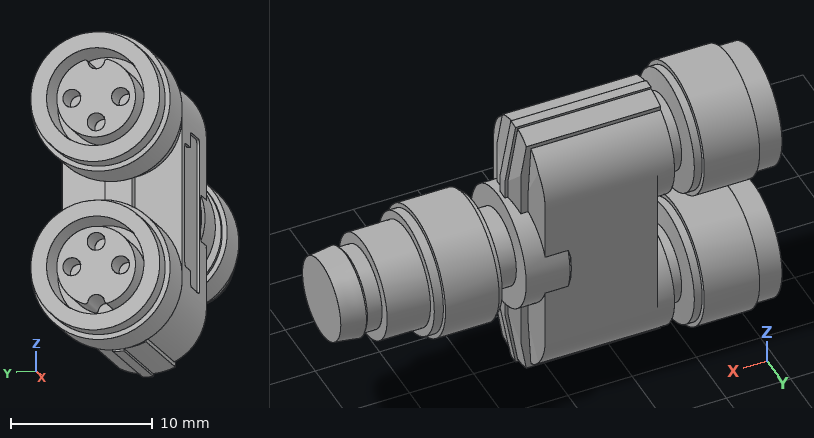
import cadquery as cq
import math


total_length = 33.7
total_width = 10.0
nut_radius = total_width / 2
total_height = 22.07
pick_margin = 0.05
socket_z = total_height / 2 - nut_radius
neck_radius = 2.95
collar_radius = 4.65
collar_taper = 0.2

nut_start = 1.92
nut_end = 6.25
collar_end = 6.85
bore_radius = 3.5
bore_depth = 4.05
insert_radius = 2.83
insert_recess = 0.35
pin_hole_radius = 0.65
pin_circle_radius = 1.75
pin_hole_depth = 2.7
key_radius = 0.6
key_centre_radius = 2.65
key_mouth_fillet = 0.2

body_start = 8.22
body_radius = 4.3
body_end = 18.55
body_end_slope = 0.25
band_radius = 4.6
band_half_width = 2.0
band_end = 19.38
band_end_slope = 0.27
band_top_slope = 0.78
rib_radius = 4.75
rib_half_width = 0.4
rib_end = 19.6
rib_top_slope = 0.85
web_half_width = 0.98
saddle_inner_x = 9.25
saddle_outer_x = 9.55

label_start = 10.48
label_step = 12.5
label_end = 15.85
label_half_height = 5.53
label_step_half_height = 4.4
label_depth = 0.2
label_corner_radius = 0.4

boss_radius = 4.62
boss_front_start = 16.05
boss_back_start = 16.3
boss_end = 19.9
boss_chamfer = 0.2

plug_collar_start = 21.8
plug_nut_start = 22.2
plug_nut_end = 26.4
plug_collar_end = 27.1
barrel_radius = 4.0
barrel_end = 30.45
tip_neck_radius = 3.17
tip_neck_end = 31.6
tip_start = 31.8
tip_large_radius = 3.45
tip_small_radius = 3.2


def turned(profile):
    """Revolve (x, radius) points around the X axis."""
    return cq.Workplane("XY").polyline(profile).close().revolve(360, (0, 0, 0), (1, 0, 0))


def rod(start, end, radius, y=0.0, z=0.0):
    """Cylinder along X between two X positions."""
    return cq.Workplane("YZ", origin=(start, y, z)).circle(radius).extrude(end - start)


def slab(start, end, half_width, half_height):
    """Box along X, centred on the X axis."""
    size = (end - start, 2 * half_width, 2 * half_height)
    return cq.Workplane("XY").box(*size).translate(((start + end) / 2, 0, 0))


def stadium(start, end, radius):
    """Rounded bar along X whose round ends are centred on the socket axes."""
    outline = cq.Workplane("YZ", origin=(start, 0, 0)).slot2D(2 * (socket_z + radius), 2 * radius, 90)
    return outline.extrude(end - start)


def end_wedge(plane, end, slope, flat, reach):
    """Prism bounded by an end at X = end that recedes by slope from flat out to reach."""
    outline = [
        (body_start, -reach),
        (end - slope, -reach),
        (end, -flat),
        (end, flat),
        (end - slope, reach),
        (body_start, reach),
    ]
    return cq.Workplane(plane).polyline(outline).close().extrude(total_height, both=True)


def make_socket():
    """Upper socket around the X axis, with its key at +Z."""
    shell = turned([
        (0, 0),
        (0, collar_radius),
        (nut_start, collar_radius),
        (nut_start, nut_radius),
        (nut_end, nut_radius),
        (nut_end, collar_radius),
        (collar_end, collar_radius),
        (collar_end + collar_taper, neck_radius),
        (body_start, neck_radius),
        (body_start, 0),
    ])
    insert = rod(insert_recess, bore_depth, insert_radius)
    insert = insert.cut(rod(insert_recess, bore_depth, key_radius, z=key_centre_radius))
    key_mouth = slab(insert_recess, bore_depth, key_radius, key_radius)
    insert = insert.cut(key_mouth.translate((0, 0, key_centre_radius + key_radius)))
    mouth_corners = cq.selectors.BoxSelector(
        (0, -insert_radius, key_centre_radius + pick_margin),
        (bore_depth, insert_radius, insert_radius),
    )
    insert = insert.edges("|X").edges(mouth_corners).fillet(key_mouth_fillet)
    for angle in (0, 180, 270):
        y = pin_circle_radius * math.cos(math.radians(angle))
        z = pin_circle_radius * math.sin(math.radians(angle))
        insert = insert.cut(rod(insert_recess, insert_recess + pin_hole_depth, pin_hole_radius, y, z))
    return shell.cut(rod(0, bore_depth, bore_radius)).union(insert)


def make_main_body():
    """Rounded bar with a sloped +X end."""
    body = stadium(body_start, body_end, body_radius)
    body = body.intersect(end_wedge("XZ", body_end, body_end_slope, socket_z, socket_z + body_radius))
    return body.intersect(end_wedge("XY", body_end, body_end_slope, band_half_width, body_radius))


def make_band():
    """Wide raised band over the top, bottom and +X end of the body."""
    band = stadium(body_start, band_end, band_radius)
    band = band.intersect(slab(body_start, band_end, band_half_width, total_height))
    band = band.intersect(end_wedge("XZ", band_end, band_top_slope, socket_z, socket_z + band_radius))
    return band.intersect(end_wedge("XY", band_end, band_end_slope, rib_half_width, band_half_width))


def make_rib():
    """Narrow rib running along the middle of the band."""
    rib = stadium(body_start, rib_end, rib_radius)
    rib = rib.intersect(slab(body_start, rib_end, rib_half_width, total_height))
    return rib.intersect(end_wedge("XZ", rib_end, rib_top_slope, socket_z, socket_z + rib_radius))


def make_saddles():
    """Hollows between the sockets, one on each side of the middle web."""
    saddles = None
    for side in (1, -1):
        saddle = (
            cq.Workplane("XY", origin=(0, 0, -socket_z))
            .polyline([
                (body_start, side * web_half_width),
                (saddle_inner_x, side * web_half_width),
                (saddle_outer_x, side * body_radius),
                (body_start, side * body_radius),
            ])
            .close()
            .extrude(2 * socket_z)
        )
        for z in (socket_z, -socket_z):
            saddle = saddle.cut(rod(body_start, saddle_outer_x, body_radius, z=z))
        saddles = saddle if saddles is None else saddles.union(saddle)
    return saddles


def make_boss():
    """Round boss on the plug axis; its -Y half starts earlier than its +Y half."""
    boss = None
    for start, side in ((boss_front_start, -1), (boss_back_start, 1)):
        disc = rod(start, boss_end, boss_radius).faces("<X").edges().chamfer(boss_chamfer)
        half = slab(start, boss_end, boss_radius / 2, boss_radius)
        half = disc.intersect(half.translate((0, side * boss_radius / 2, 0)))
        boss = half if boss is None else boss.union(half)
    return boss


def make_label():
    """Recess for a label in the -Y flat face."""
    outline = (
        cq.Workplane("XZ", origin=(0, -body_radius, 0))
        .polyline([
            (label_start, -label_step_half_height),
            (label_step, -label_step_half_height),
            (label_step, -label_half_height),
            (label_end, -label_half_height),
            (label_end, label_half_height),
            (label_step, label_half_height),
            (label_step, label_step_half_height),
            (label_start, label_step_half_height),
        ])
        .close()
        .extrude(-label_depth)
    )
    inner_corners = cq.selectors.BoxSelector(
        (label_step - pick_margin, -total_height, -label_step_half_height - pick_margin),
        (label_step + pick_margin, total_height, label_step_half_height + pick_margin),
    )
    all_corners = cq.selectors.ParallelDirSelector(cq.Vector(0, 1, 0))
    outer_corners = cq.selectors.SubtractSelector(all_corners, inner_corners)
    return outline.edges(outer_corners).fillet(label_corner_radius)


def make_plug():
    """Turned plug from the boss to the +X tip."""
    return turned([
        (boss_end, 0),
        (boss_end, neck_radius),
        (plug_collar_start - collar_taper, neck_radius),
        (plug_collar_start, collar_radius),
        (plug_nut_start, collar_radius),
        (plug_nut_start, nut_radius),
        (plug_nut_end, nut_radius),
        (plug_nut_end, collar_radius),
        (plug_collar_end, collar_radius),
        (plug_collar_end, barrel_radius),
        (barrel_end, barrel_radius),
        (barrel_end, tip_neck_radius),
        (tip_neck_end, tip_neck_radius),
        (tip_start, tip_large_radius),
        (total_length, tip_small_radius),
        (total_length, 0),
    ])


upper_socket = make_socket().translate((0, 0, socket_z))
lower_socket = upper_socket.mirror("XY")

result = make_main_body().union(make_band()).union(make_rib())
result = result.cut(make_saddles()).union(make_boss()).cut(make_label())
result = result.union(make_plug()).union(upper_socket).union(lower_socket)